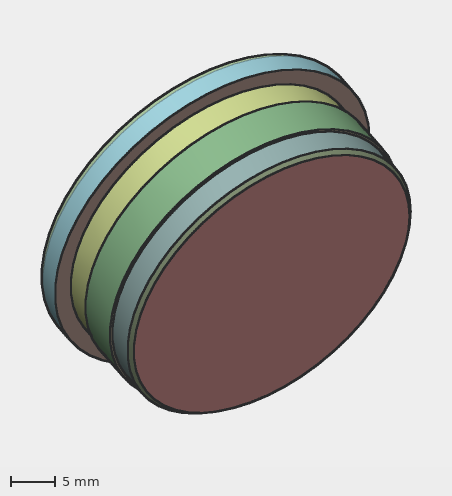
import cadquery as cq

total_length = 15.6
flange_diameter = 42.4
flange_thickness = 3.48
flange_edge_radius = 1.0
body_diameter = 38.15
body_edge_chamfer = 0.5
band_diameter = 38.85
band_start = 7.0
band_width = 5.0

front_face = -total_length / 2


def disc(diameter, start, length):
    """Cylinder along X, starting at a distance behind the front face."""
    plane = cq.Workplane("YZ", origin=(front_face + start, 0, 0))
    return plane.circle(diameter / 2).extrude(length)


flange = disc(flange_diameter, 0, flange_thickness)
flange = flange.faces("<X").edges().fillet(flange_edge_radius)

body = disc(body_diameter, 0, total_length)
body = body.faces(">X").edges().chamfer(body_edge_chamfer)

band = disc(band_diameter, band_start, band_width)

result = flange.union(body).union(band)